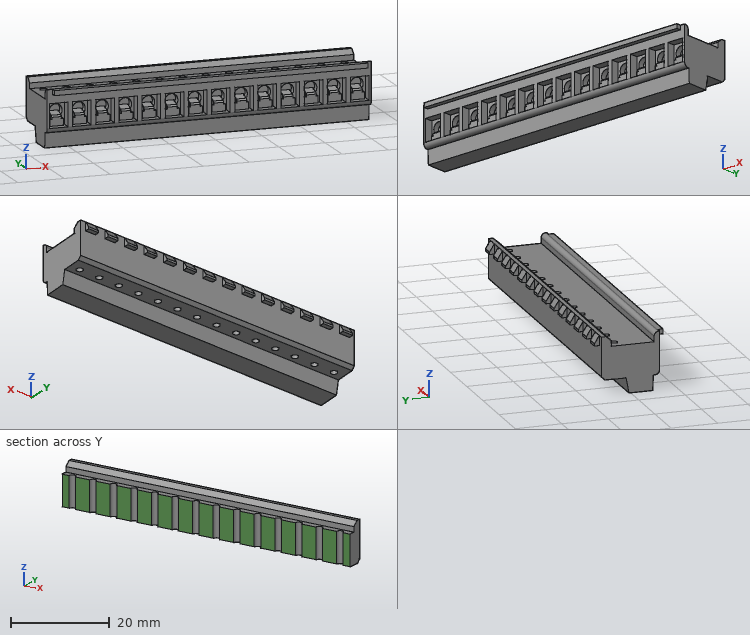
import cadquery as cq

LENGTH = 70.0
POLES = 14
PITCH = LENGTH / POLES
DEPTH = 12.5
HEIGHT = 12.5

FLOOR_Z = 10.35
BODY_BOTTOM_Z = 3.3
REAR_CHAMFER = 0.8
FRONT_RADIUS = 1.05
RIDGE_WIDTH = 1.2
RIDGE_RADIUS = 1.0
HOOK_TOP_WIDTH = 1.0
HOOK_BASE_WIDTH = 2.2
HOOK_SLOPE_DROP = 1.0
FOOT_FRONT_TOP = 1.3
FOOT_FRONT_BOTTOM = 1.5
FOOT_REAR_TOP = 7.2
FOOT_REAR_BOTTOM = 6.6

RAIL_END_INSET = 1.1
RAIL_DEPTH = 1.1
RAIL_HEIGHT = 1.05

LATCH_WIDTH = 2.5
LATCH_DEPTH = 1.05
LATCH_TIP_HEIGHT = 0.5

TEST_HOLE_DIAMETER = 1.5
TEST_HOLE_Y = 8.95

POCKET_WIDTH = 4.0
POCKET_TOP_Z = 9.6
POCKET_BOTTOM_Z = 4.4
POCKET_BACK_Y = 1.9
POCKET_SIDE_TAPER = 0.1
POCKET_FLOOR_RISE = 0.15

WIRE_HOLE_RADIUS = 1.4
WIRE_HOLE_Z = 7.55
WIRE_HOLE_DEPTH = 1.4
BLOCK_WIDTH = 2.95
BLOCK_TOP_Z = 5.95
BLOCK_FRONT_Y = 1.25
NECK_WIDTH = 2.1
NECK_TOP_Z = 6.7
NECK_CHAMFER = 0.35
RAMP_END_Z = 7.3

WIRE_HOLE_END_Y = POCKET_BACK_Y + WIRE_HOLE_DEPTH
POLE_XS = [(i - (POLES - 1) / 2) * PITCH for i in range(POLES)]


def extrude_section(points, width):
    """Extrude a closed (Y, Z) outline along X, centred on X = 0."""
    return cq.Workplane("YZ").polyline(points).close().extrude(width / 2, both=True)


def box(x_width, y_range, z_range):
    """Box centred on X = 0 that spans the given Y and Z ranges."""
    (y0, y1), (z0, z1) = y_range, z_range
    block = cq.Workplane("XY").box(x_width, y1 - y0, z1 - z0, centered=(True, False, False))
    return block.translate((0, y0, z0))


def at_each_pole(shape):
    """Compound of copies of a shape, one at every pole position."""
    solid = shape.val()
    copies = [solid.translate(cq.Vector(x, 0, 0)) for x in POLE_XS]
    return cq.Workplane().newObject([cq.Compound.makeCompound(copies)])


def make_body():
    section = [
        (FOOT_FRONT_BOTTOM, 0),
        (FOOT_REAR_BOTTOM, 0),
        (FOOT_REAR_TOP, BODY_BOTTOM_Z),
        (DEPTH - REAR_CHAMFER, BODY_BOTTOM_Z),
        (DEPTH, BODY_BOTTOM_Z + REAR_CHAMFER),
        (DEPTH, HEIGHT),
        (DEPTH - HOOK_TOP_WIDTH, HEIGHT),
        (DEPTH - HOOK_BASE_WIDTH, HEIGHT - HOOK_SLOPE_DROP),
        (DEPTH - HOOK_BASE_WIDTH, FLOOR_Z),
        (RIDGE_WIDTH, FLOOR_Z),
        (RIDGE_WIDTH, HEIGHT),
        (0, HEIGHT),
        (0, BODY_BOTTOM_Z),
        (FOOT_FRONT_TOP, BODY_BOTTOM_Z),
    ]
    body = extrude_section(section, LENGTH)
    front_edge = cq.selectors.NearestToPointSelector((0, 0, BODY_BOTTOM_Z))
    ridge_edge = cq.selectors.NearestToPointSelector((0, RIDGE_WIDTH, HEIGHT))
    body = body.edges("|X").edges(front_edge).fillet(FRONT_RADIUS)
    return body.edges("|X").edges(ridge_edge).fillet(RIDGE_RADIUS)


def make_rail():
    return box(LENGTH - 2 * RAIL_END_INSET, (-RAIL_DEPTH, 0), (HEIGHT - RAIL_HEIGHT, HEIGHT))


def make_latch():
    tip_y = DEPTH + LATCH_DEPTH
    section = [(DEPTH, FLOOR_Z), (tip_y, FLOOR_Z), (tip_y, FLOOR_Z + LATCH_TIP_HEIGHT), (DEPTH, HEIGHT)]
    return extrude_section(section, LATCH_WIDTH)


def make_test_hole():
    return cq.Workplane("XY").center(0, TEST_HOLE_Y).circle(TEST_HOLE_DIAMETER / 2).extrude(HEIGHT)


def make_pocket():
    """Tapered pocket with a round wire hole, around a clamp block that stays standing."""
    half_front = POCKET_WIDTH / 2
    half_back = half_front - POCKET_SIDE_TAPER
    section = [
        (0, POCKET_TOP_Z),
        (0, POCKET_BOTTOM_Z),
        (POCKET_BACK_Y, POCKET_BOTTOM_Z + POCKET_FLOOR_RISE),
        (POCKET_BACK_Y, POCKET_TOP_Z),
    ]
    plan = [(-half_front, 0), (half_front, 0), (half_back, POCKET_BACK_Y), (-half_back, POCKET_BACK_Y)]
    recess = extrude_section(section, POCKET_WIDTH).intersect(
        cq.Workplane("XY").polyline(plan).close().extrude(HEIGHT)
    )
    wire_hole = (
        cq.Workplane("XZ", origin=(0, POCKET_BACK_Y, WIRE_HOLE_Z))
        .circle(WIRE_HOLE_RADIUS)
        .extrude(-WIRE_HOLE_DEPTH)
    )
    block = box(BLOCK_WIDTH, (BLOCK_FRONT_Y, WIRE_HOLE_END_Y), (0, BLOCK_TOP_Z))
    neck_section = [
        (BLOCK_FRONT_Y, 0),
        (BLOCK_FRONT_Y, NECK_TOP_Z - NECK_CHAMFER),
        (BLOCK_FRONT_Y + NECK_CHAMFER, NECK_TOP_Z),
        (WIRE_HOLE_END_Y, RAMP_END_Z),
        (WIRE_HOLE_END_Y, 0),
    ]
    neck = extrude_section(neck_section, NECK_WIDTH)
    return recess.union(wire_hole).cut(block.union(neck))


result = (
    make_body()
    .union(make_rail())
    .union(at_each_pole(make_latch()))
    .cut(at_each_pole(make_test_hole()))
    .cut(at_each_pole(make_pocket()))
    .solids()
)